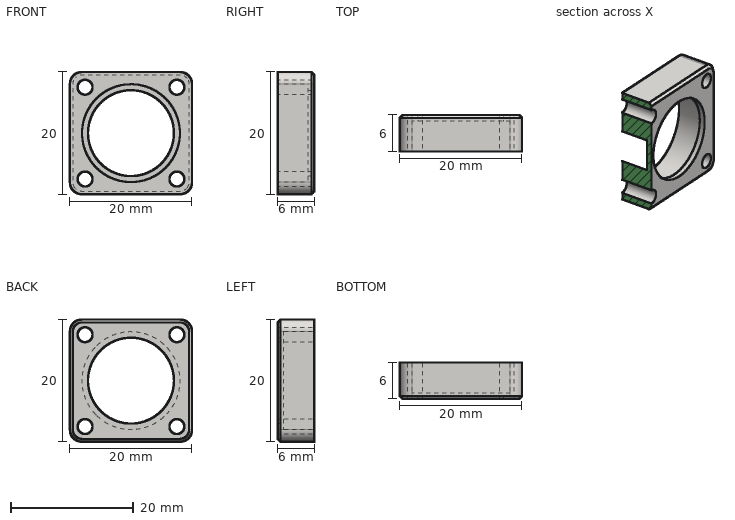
import cadquery as cq

side = 20.0
thickness = 6.0
corner_radius = 2.0
back_chamfer = 0.5

bore_diameter = 16.0
opening_diameter = 14.0
lip_thickness = 1.0
bore_depth = thickness - lip_thickness

screw_hole_diameter = 2.4
screw_hole_spacing = 15.0


def plate():
    """Rounded square block with its rear outline chamfered."""
    block = (
        cq.Workplane("XZ", origin=(0, thickness / 2, 0))
        .rect(side, side)
        .extrude(thickness)
        .edges("|Y")
        .fillet(corner_radius)
    )
    return block.faces(">Y").chamfer(back_chamfer)


def cut_bore(body):
    """Wide bore from the front, stopping at a lip around the rear opening."""
    return body.faces("<Y").workplane(origin=(0, 0, 0)).cboreHole(
        opening_diameter, bore_diameter, bore_depth
    )


def cut_screw_holes(body):
    """Four through holes on a square pattern."""
    return (
        body.faces("<Y")
        .workplane(origin=(0, 0, 0))
        .rect(screw_hole_spacing, screw_hole_spacing, forConstruction=True)
        .vertices()
        .hole(screw_hole_diameter)
    )


result = cut_screw_holes(cut_bore(plate()))